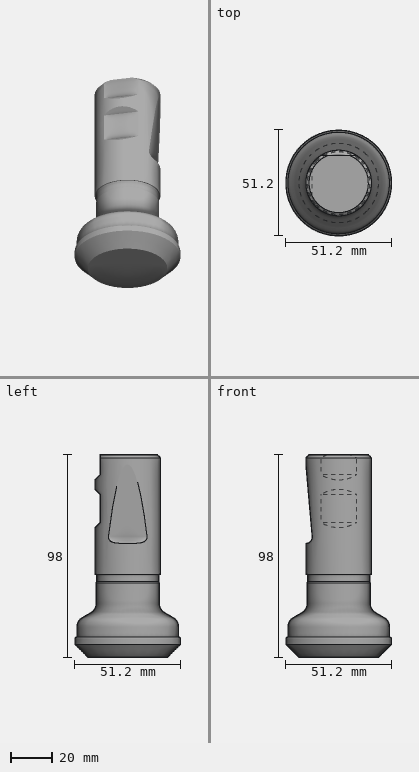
import cadquery as cq
import math

total_height = 98.0
clearance = 4.9

rim_radius = 25.6
disc_bottom_radius = 19.2
rim_bottom_z = rim_radius - disc_bottom_radius
rim_round = 0.9
disc_top_z = 9.8

head_radius = 49.1 / 2
neck_radius = 30.6 / 2
blend_radius = 5.0
shoulder_angle = math.radians(30)
neck_blend_top_z = 26.0

groove_radius = 30.1 / 2
groove_bottom_z = 36.6
groove_top_z = 39.2
groove_chamfer_height = 0.7
shank_bottom_z = 40.2
shank_radius = 31.7 / 2
top_chamfer = 1.6

flat_y = 13.3
tooth_top_z = 85.7
tooth_bottom_z = 81.2
lower_land_top_z = 62.7

slope_angle = math.radians(5)
slope_top_z = 93.1
slope_bottom_z = 58.4
pocket_radius = 3.0


def make_base_disc():
    return (
        cq.Workplane("XZ")
        .lineTo(disc_bottom_radius, 0)
        .lineTo(rim_radius, rim_bottom_z)
        .lineTo(rim_radius, disc_top_z)
        .lineTo(0, disc_top_z)
        .close()
        .revolve(360, (0, 0), (0, 1))
        .faces(">Z")
        .edges()
        .fillet(rim_round)
    )


def arc_point(center, radius, angle):
    return (center[0] + radius * math.cos(angle), center[1] + radius * math.sin(angle))


def make_shank_blank():
    sweep = math.pi / 2 - shoulder_angle
    neck_center = (neck_radius + blend_radius, neck_blend_top_z)
    neck_blend_end = arc_point(neck_center, blend_radius, math.pi + sweep)
    neck_blend_middle = arc_point(neck_center, blend_radius, math.pi + sweep / 2)

    head_center_x = head_radius - blend_radius
    shoulder_outer_x = head_center_x + blend_radius * math.cos(sweep)
    shoulder_drop = (shoulder_outer_x - neck_blend_end[0]) * math.tan(shoulder_angle)
    shoulder_outer_z = neck_blend_end[1] - shoulder_drop
    head_center = (head_center_x, shoulder_outer_z - blend_radius * math.sin(sweep))
    head_blend_middle = arc_point(head_center, blend_radius, sweep / 2)

    return (
        cq.Workplane("XZ")
        .moveTo(0, disc_top_z)
        .lineTo(head_radius, disc_top_z)
        .lineTo(head_radius, head_center[1])
        .threePointArc(head_blend_middle, (shoulder_outer_x, shoulder_outer_z))
        .lineTo(*neck_blend_end)
        .threePointArc(neck_blend_middle, (neck_radius, neck_blend_top_z))
        .lineTo(neck_radius, groove_bottom_z - groove_chamfer_height)
        .lineTo(groove_radius, groove_bottom_z)
        .lineTo(groove_radius, groove_top_z)
        .lineTo(neck_radius, shank_bottom_z)
        .lineTo(shank_radius, shank_bottom_z)
        .lineTo(shank_radius, total_height - top_chamfer)
        .lineTo(shank_radius - top_chamfer, total_height)
        .lineTo(0, total_height)
        .close()
        .revolve(360, (0, 0), (0, 1))
    )


def make_notch_cutters():
    outer_y = shank_radius + clearance
    tip_to_root = shank_radius - flat_y
    upper_outline = [
        (flat_y, total_height + clearance),
        (flat_y, tooth_top_z + tip_to_root),
        (outer_y, tooth_top_z - clearance),
        (outer_y, total_height + clearance),
    ]
    lower_outline = [
        (flat_y, tooth_bottom_z - tip_to_root),
        (flat_y, lower_land_top_z + tip_to_root),
        (outer_y, lower_land_top_z - clearance),
        (outer_y, tooth_bottom_z + clearance),
    ]
    return [
        cq.Workplane("YZ").polyline(outline).close().extrude(shank_radius, both=True)
        for outline in (upper_outline, lower_outline)
    ]


def make_pocket_cutter():
    slope_bottom_x = -shank_radius + (slope_top_z - slope_bottom_z) * math.tan(slope_angle)
    center = (
        slope_bottom_x - pocket_radius * math.cos(slope_angle),
        slope_bottom_z - pocket_radius * math.sin(slope_angle),
    )
    arc_middle_angle = (slope_angle - math.pi / 2) / 2
    floor_z = center[1] - pocket_radius
    outer_x = -shank_radius - clearance
    outer_top_z = slope_top_z + clearance / math.tan(slope_angle)
    return (
        cq.Workplane("XZ")
        .moveTo(outer_x, outer_top_z)
        .lineTo(slope_bottom_x, slope_bottom_z)
        .threePointArc(arc_point(center, pocket_radius, arc_middle_angle), (center[0], floor_z))
        .lineTo(outer_x, floor_z)
        .close()
        .extrude(shank_radius, both=True)
    )


base_disc = make_base_disc()
shank = make_shank_blank().cut(make_pocket_cutter())
for notch_cutter in make_notch_cutters():
    shank = shank.cut(notch_cutter)

result = cq.Compound.makeCompound([base_disc.val(), shank.val()])